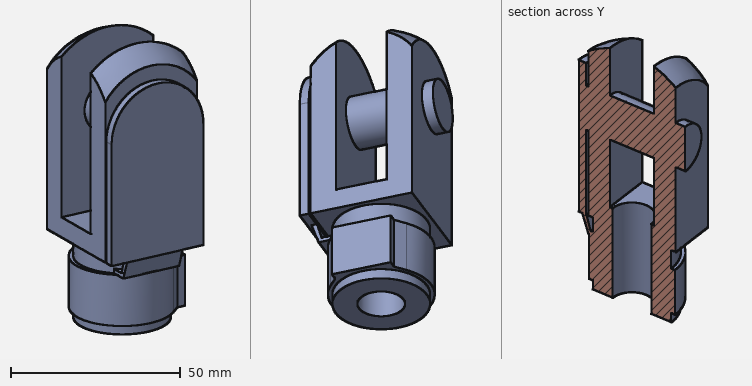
import cadquery as cq
import math

height = 89.0
fork_width = 32.0
half_width = fork_width / 2
slot_width = fork_width / 2
fork_bottom = 25.7
slot_floor = 32.1
crown_radius = 25.4
crown_center_z = height - math.sqrt(crown_radius**2 - (slot_width / 2) ** 2)

neck_radius = 14.4
bore_radius = 7.0

collar_radius = 15.75
collar_bottom = 3.2
collar_top = 19.3
lug_end_y = half_width
lug_corner_y = 13.35
tangent_angle = math.radians(40.5)

pin_radius = 8.0
pin_z = 64.1
pin_end_x = 19.5

plate_thickness = 2.85
plate_inner_x = pin_end_x - plate_thickness
strap_width = 19.4
foot_thickness = 1.4
foot_end_x = half_width
strap_top_inner_x = 16.5
strap_top_outer_x = 18.25
strap_foot_inner_x = 15.0


def cylinder(radius, bottom, top):
    return cq.Workplane("XY").workplane(offset=bottom).circle(radius).extrude(top - bottom)


def make_fork():
    block = (
        cq.Workplane("XY")
        .workplane(offset=fork_bottom)
        .rect(fork_width, fork_width)
        .extrude(height - fork_bottom)
    )
    slot = (
        cq.Workplane("XY")
        .workplane(offset=slot_floor)
        .rect(slot_width, fork_width)
        .extrude(height - slot_floor)
    )
    crown = cq.Workplane("XY").sphere(crown_radius).translate((0, 0, crown_center_z))
    envelope = cylinder(crown_radius, fork_bottom, crown_center_z).union(crown)
    return block.cut(slot).intersect(envelope)


def make_collar():
    tangent_x = collar_radius * math.cos(tangent_angle)
    tangent_y = collar_radius * math.sin(tangent_angle)
    lug_x = tangent_x - (lug_corner_y - tangent_y) * math.tan(tangent_angle)
    return (
        cq.Workplane("XY")
        .workplane(offset=collar_bottom)
        .moveTo(-tangent_x, tangent_y)
        .threePointArc((0, -collar_radius), (tangent_x, tangent_y))
        .lineTo(lug_x, lug_corner_y)
        .lineTo(lug_x, lug_end_y)
        .lineTo(-lug_x, lug_end_y)
        .lineTo(-lug_x, lug_corner_y)
        .close()
        .extrude(collar_top - collar_bottom)
    )


def make_pin():
    return (
        cq.Workplane("YZ")
        .workplane(offset=-pin_end_x)
        .center(0, pin_z)
        .circle(pin_radius)
        .extrude(2 * pin_end_x)
    )


def make_clip():
    plate = (
        cq.Workplane("YZ")
        .workplane(offset=plate_inner_x)
        .moveTo(-half_width, fork_bottom)
        .lineTo(half_width, fork_bottom)
        .lineTo(half_width, pin_z)
        .threePointArc((0, pin_z + half_width), (-half_width, pin_z))
        .close()
        .extrude(plate_thickness)
    )
    foot_top = collar_top + foot_thickness
    foot_start_x = (neck_radius + bore_radius) / 2
    foot_and_strap = (
        cq.Workplane("XZ")
        .moveTo(foot_start_x, collar_top)
        .lineTo(foot_end_x, collar_top)
        .lineTo(strap_top_outer_x, fork_bottom)
        .lineTo(strap_top_inner_x, fork_bottom)
        .lineTo(strap_foot_inner_x, foot_top)
        .lineTo(foot_start_x, foot_top)
        .close()
        .extrude(strap_width / 2, both=True)
    )
    return plate.union(foot_and_strap)


shank = cylinder(neck_radius, 0, fork_bottom)
bore = cylinder(bore_radius, 0, slot_floor)
body = make_fork().union(shank).union(make_collar()).cut(bore)
result = body.union(make_pin()).union(make_clip())